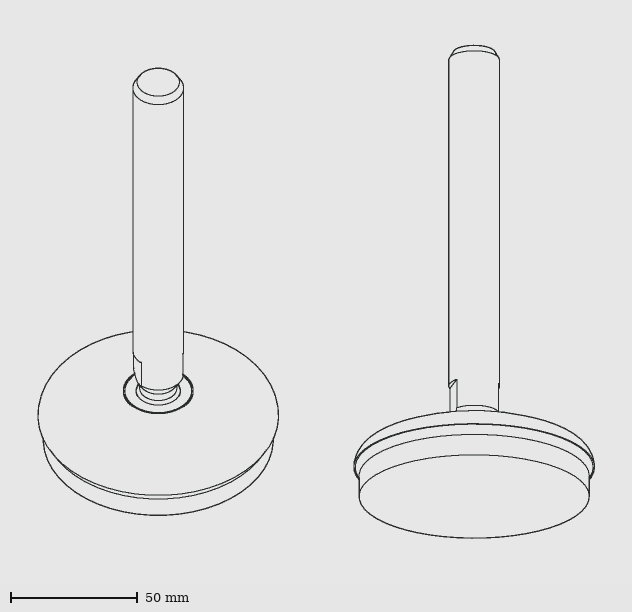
import cadquery as cq
import math

overall_height = 187.7

pad_radius = 45.5
pad_shoulder_radius = 47.0
pad_wall_height = 8.6
pad_height = 12.4

cap_radius = 47.5
cap_lip_height = 0.5
rim_top_radius = 43.2
rim_top_z = 19.3
crown_radius = 16.7
crown_z = 25.7
groove_outer_radius = 27.5 / 2
groove_inner_radius = 26.5 / 2
groove_depth = 0.5

stud_radius = 20.0 / 2
stud_tip_chamfer = 1.7
stud_tip_chamfer_height = 3.0
stud_bottom_z = 34.7
neck_radius = 14.6 / 2
neck_top_z = 30.2
neck_bottom_z = 26.8
foot_radius = 17.5 / 2
foot_top_z = 25.0
flat_width = 17.0
flat_top_z = 46.7


def revolve_profile(profile):
    """Revolve a profile of (radius, height) points about the Z axis."""
    return profile.close().revolve(360, (0, 0, 0), (0, 1, 0))


def make_pad():
    """Solid disc whose wall flares out to a shoulder under the cap."""
    profile = (
        cq.Workplane("XZ")
        .lineTo(pad_radius, 0)
        .lineTo(pad_radius, pad_wall_height)
        .lineTo(pad_shoulder_radius, pad_height)
        .lineTo(0, pad_height)
    )
    return revolve_profile(profile)


def make_cap():
    """Dome with a rounded rim, a stud socket and a ring groove in its crown."""
    dome_run = rim_top_radius - crown_radius
    dome_drop = crown_z - rim_top_z
    dome_arc_radius = (dome_run**2 + dome_drop**2) / (2 * dome_drop)
    dome_angle = math.asin(dome_run / dome_arc_radius)
    dome_middle = (
        crown_radius + dome_arc_radius * math.sin(dome_angle / 2),
        crown_z - dome_arc_radius * (1 - math.cos(dome_angle / 2)),
    )
    profile = (
        cq.Workplane("XZ")
        .moveTo(foot_radius, pad_height)
        .lineTo(foot_radius, crown_z)
        .lineTo(groove_inner_radius, crown_z)
        .lineTo(groove_inner_radius, crown_z - groove_depth)
        .lineTo(groove_outer_radius, crown_z - groove_depth)
        .lineTo(groove_outer_radius, crown_z)
        .lineTo(crown_radius, crown_z)
        .threePointArc(dome_middle, (rim_top_radius, rim_top_z))
        .tangentArcPoint((cap_radius, pad_height + cap_lip_height), relative=False)
        .lineTo(cap_radius, pad_height)
    )
    return revolve_profile(profile)


def make_stud():
    """Stud with a tapered neck, a foot filling the cap's socket and two wrench flats."""
    profile = (
        cq.Workplane("XZ")
        .moveTo(0, pad_height)
        .lineTo(foot_radius, pad_height)
        .lineTo(foot_radius, foot_top_z)
        .lineTo(neck_radius, neck_bottom_z)
        .lineTo(neck_radius, neck_top_z)
        .lineTo(stud_radius, stud_bottom_z)
        .lineTo(stud_radius, overall_height - stud_tip_chamfer_height)
        .lineTo(stud_radius - stud_tip_chamfer, overall_height)
        .lineTo(0, overall_height)
    )
    stud = revolve_profile(profile)

    flat_height = flat_top_z - neck_top_z
    for side in (-1, 1):
        cutter = (
            cq.Workplane("XY", origin=(0, side * (flat_width / 2 + stud_radius), neck_top_z))
            .rect(2 * stud_radius, 2 * stud_radius)
            .extrude(flat_height)
        )
        stud = stud.cut(cutter)
    return stud


pad = make_pad()
cap = make_cap()
stud = make_stud()

result = cq.Compound.makeCompound([pad.val(), cap.val(), stud.val()])